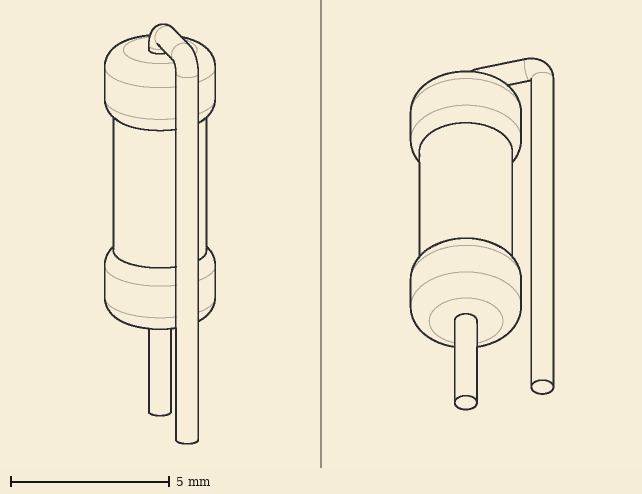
import cadquery as cq

total_height = 13.3
lead_diameter = 0.7
lead_pitch = 2.54
bend_radius = 0.49

cap_diameter = 3.5
cap_height = 2.25
cap_rounding = 0.59
barrel_diameter = 2.94
body_bottom = 3.31
body_length = 8.99

body_top = body_bottom + body_length
crossbar_height = total_height - lead_diameter / 2
bend_start_height = crossbar_height - bend_radius


def rounded_cap(bottom):
    """Cylindrical cap with both rims rounded."""
    return (
        cq.Workplane("XY", origin=(0, 0, bottom))
        .circle(cap_diameter / 2)
        .extrude(cap_height)
        .edges("%CIRCLE")
        .fillet(cap_rounding)
    )


def make_body():
    """Barrel running between the two caps."""
    barrel_bottom = body_bottom + cap_height / 2
    barrel_length = body_length - cap_height
    barrel = (
        cq.Workplane("XY", origin=(0, 0, barrel_bottom))
        .circle(barrel_diameter / 2)
        .extrude(barrel_length)
    )
    lower_cap = rounded_cap(body_bottom)
    upper_cap = rounded_cap(body_top - cap_height)
    return barrel.union(lower_cap).union(upper_cap)


def make_lead():
    """Wire up through the body axis, across, and back down to Z = 0."""
    path = (
        cq.Workplane("XZ")
        .lineTo(0, bend_start_height)
        .radiusArc((bend_radius, crossbar_height), bend_radius)
        .lineTo(lead_pitch - bend_radius, crossbar_height)
        .radiusArc((lead_pitch, bend_start_height), bend_radius)
        .lineTo(lead_pitch, 0)
    )
    return cq.Workplane("XY").circle(lead_diameter / 2).sweep(path)


result = make_body().union(make_lead())